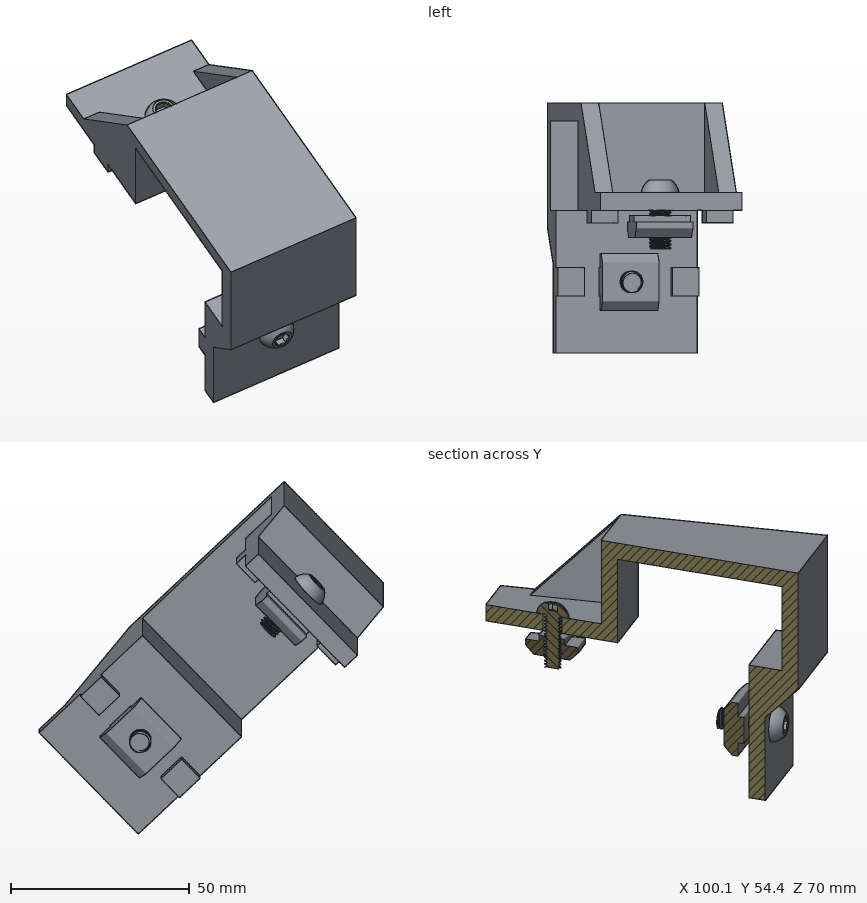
import cadquery as cq
import math

ASSEMBLY_TURN = 9.0

LENGTH = 95.0
WIDTH = 40.0
HEIGHT = 70.0
WALL = 5.0
FOOT_DROP = 30.0
FOOT_LENGTH = 40.0
GUSSET_TOE = 10.0
SHELF_DEPTH = 10.0
WEDGE_DROP = 35.0
HOLE_DIAMETER = 6.5

TAB_SIZE = 8.0
TAB_WIDTH = 7.5
TAB_RISE = 3.5

FOOT_FIXING_X = 20.0
ARM_FIXING_DROP = 50.0

THREAD_DIAMETER = 6.0
CORE_DIAMETER = 4.9
THREAD_PITCH = 1.0
THREAD_BASE = 0.8
THREAD_CREST = 0.2
SCREW_LENGTH = 15.8
HEAD_DIAMETER = 10.5
HEAD_FLAT_DIAMETER = 6.1
HEAD_HEIGHT = 3.5
HEAD_LIP = 0.2
SOCKET_FLATS = 4.0
SOCKET_DEPTH = 2.0

NUT_SIZE = 16.0
NUT_NECK_WIDTH = 8.0
NUT_NECK_HEIGHT = 1.8
NUT_BODY_HEIGHT = 4.3
NUT_CHAMFER = 2.5
NUT_EDGE_RADIUS = 0.3
NUT_GAP = 1.5

FOOT_BOTTOM = HEIGHT - FOOT_DROP
FOOT_TOP = FOOT_BOTTOM + WALL
ROOF_BOTTOM = HEIGHT - WALL
FOOT_WALL_FACE = FOOT_LENGTH - WALL
END_WALL_FACE = LENGTH - WALL
ARM_BACK = LENGTH - SHELF_DEPTH
ARM_FACE = ARM_BACK - WALL
WEDGE_TOP = HEIGHT - WEDGE_DROP
WEDGE_BOTTOM = WEDGE_TOP - SHELF_DEPTH
ARM_FIXING_Z = HEIGHT - ARM_FIXING_DROP

FOOT_FRAME = cq.Plane(origin=(FOOT_FIXING_X, 0, FOOT_TOP), xDir=(1, 0, 0), normal=(0, 0, 1))
ARM_FRAME = cq.Plane(origin=(ARM_BACK, 0, ARM_FIXING_Z), xDir=(0, 0, 1), normal=(1, 0, 0))
FIXING_FRAMES = (FOOT_FRAME, ARM_FRAME)


def extruded_profile(points, width):
    """Prism of an XZ outline, centred on the middle plane."""
    return cq.Workplane("XZ").polyline(points).close().extrude(width / 2, both=True)


def placed(shape, frame):
    """Shape moved from the origin into a fixing frame."""
    return cq.Workplane(shape.val().moved(frame.location))


def bracket_frame():
    return extruded_profile(
        [
            (0, FOOT_BOTTOM),
            (FOOT_LENGTH, FOOT_BOTTOM),
            (FOOT_LENGTH, ROOF_BOTTOM),
            (END_WALL_FACE, ROOF_BOTTOM),
            (END_WALL_FACE, FOOT_BOTTOM),
            (ARM_FACE, FOOT_BOTTOM),
            (ARM_FACE, 0),
            (ARM_BACK, 0),
            (ARM_BACK, WEDGE_BOTTOM),
            (LENGTH, WEDGE_TOP),
            (LENGTH, HEIGHT),
            (FOOT_WALL_FACE, HEIGHT),
            (FOOT_WALL_FACE, FOOT_TOP),
            (0, FOOT_TOP),
        ],
        WIDTH,
    )


def gussets():
    triangle = [(GUSSET_TOE, FOOT_TOP), (FOOT_WALL_FACE, FOOT_TOP), (FOOT_WALL_FACE, HEIGHT)]
    full_width = extruded_profile(triangle, WIDTH)
    return full_width.cut(extruded_profile(triangle, WIDTH - 2 * WALL))


def tab_pair():
    """Two tabs on the mounting face, flush with the sides of the bracket."""
    tab_offset = (WIDTH - TAB_WIDTH) / 2
    return (
        cq.Workplane("XY", origin=(0, 0, -WALL))
        .pushPoints([(0, -tab_offset), (0, tab_offset)])
        .rect(TAB_SIZE, TAB_WIDTH)
        .extrude(-TAB_RISE)
    )


def bracket():
    body = bracket_frame().union(gussets())
    tabs = tab_pair()
    clearance_hole = cq.Workplane("XY").circle(HOLE_DIAMETER / 2).extrude(-WALL)
    head_relief = cq.Workplane("XY").circle(HEAD_DIAMETER / 2).extrude(HEAD_HEIGHT)
    for frame in FIXING_FRAMES:
        body = body.union(placed(tabs, frame))
        body = body.cut(placed(clearance_hole, frame))
        body = body.cut(placed(head_relief, frame))
    return body


def screw_head():
    """Button head: a low rim below a dome that is part of a sphere centred on the axis."""
    rim = HEAD_DIAMETER / 2
    flat = HEAD_FLAT_DIAMETER / 2
    dome_height = HEAD_HEIGHT - HEAD_LIP
    centre_depth = (rim**2 - flat**2 - dome_height**2) / (2 * dome_height)
    middle = dome_height / 2
    middle_radius = math.sqrt(rim**2 + centre_depth**2 - (middle + centre_depth) ** 2)
    return (
        cq.Workplane("XZ")
        .lineTo(rim, 0)
        .lineTo(rim, HEAD_LIP)
        .threePointArc((middle_radius, HEAD_LIP + middle), (flat, HEAD_HEIGHT))
        .lineTo(0, HEAD_HEIGHT)
        .close()
        .revolve(360, (0, 0, 0), (0, 1, 0))
    )


def hex_socket():
    """Hexagonal recess with a conical entry as wide as the hexagon's corners."""
    corner_diameter = SOCKET_FLATS / math.cos(math.pi / 6)
    entry_depth = (corner_diameter - SOCKET_FLATS) / 2
    top = cq.Workplane("XY", origin=(0, 0, HEAD_HEIGHT))
    hexagon = top.transformed(rotate=(0, 0, 30)).polygon(6, corner_diameter).extrude(-SOCKET_DEPTH)
    entry = top.circle(corner_diameter / 2).extrude(-entry_depth, taper=45)
    return hexagon.union(entry)


def screw_thread():
    """Helical ridge on the core, cut flush at both ends of the shank."""
    turned_length = SCREW_LENGTH + THREAD_PITCH
    start = -SCREW_LENGTH - THREAD_PITCH / 2
    root = CORE_DIAMETER / 2
    crest = THREAD_DIAMETER / 2
    ridge_corners = [
        (root, -THREAD_BASE / 2),
        (crest, -THREAD_CREST / 2),
        (crest, THREAD_CREST / 2),
        (root, THREAD_BASE / 2),
    ]
    helices = [
        cq.Wire.makeHelix(THREAD_PITCH, turned_length, radius).translate(cq.Vector(0, 0, start + height))
        for radius, height in ridge_corners
    ]
    faces = []
    for helix, next_helix in zip(helices, helices[1:] + helices[:1]):
        faces.extend(cq.Face.makeRuledSurface(helix, next_helix).Faces())
    for end_points in (
        [helix.startPoint() for helix in helices],
        [helix.endPoint() for helix in helices],
    ):
        faces.append(cq.Face.makeFromWires(cq.Wire.makePolygon(end_points, close=True)))
    ridge = cq.Solid.makeSolid(cq.Shell.makeShell(faces))
    shank_space = cq.Workplane("XY").circle(HEAD_DIAMETER / 2).extrude(-SCREW_LENGTH)
    return shank_space.intersect(cq.Workplane(ridge))


def screw():
    core = cq.Workplane("XY").circle(CORE_DIAMETER / 2).extrude(-SCREW_LENGTH)
    return core.union(screw_thread()).union(screw_head()).cut(hex_socket())


def nut():
    """Bevelled block with a narrow neck on top, its long edges rounded."""
    neck_top = -WALL - NUT_GAP
    body_top = neck_top - NUT_NECK_HEIGHT
    body_bottom = body_top - NUT_BODY_HEIGHT
    chamfer_top = body_bottom + NUT_CHAMFER
    half_neck = NUT_NECK_WIDTH / 2
    half_body = NUT_SIZE / 2
    half_bottom = half_body - NUT_CHAMFER
    body = extruded_profile(
        [
            (-half_body, body_top),
            (half_body, body_top),
            (half_body, chamfer_top),
            (half_bottom, body_bottom),
            (-half_bottom, body_bottom),
            (-half_body, chamfer_top),
        ],
        NUT_SIZE,
    )
    neck = extruded_profile(
        [
            (-half_neck, body_top),
            (half_neck, body_top),
            (half_neck, neck_top),
            (-half_neck, neck_top),
        ],
        NUT_SIZE,
    )
    rounded_body = body.edges("|Y").fillet(NUT_EDGE_RADIUS)
    rounded_neck = neck.faces(">Z").edges("|Y").fillet(NUT_EDGE_RADIUS)
    bore = cq.Workplane("XY").circle(THREAD_DIAMETER / 2).extrude(body_bottom)
    return rounded_body.union(rounded_neck).cut(bore)


bodies = [bracket()]
screw_shape = screw()
nut_shape = nut()
for fixing_frame in FIXING_FRAMES:
    bodies.append(placed(screw_shape, fixing_frame))
    bodies.append(placed(nut_shape, fixing_frame))

turned_bodies = []
for body in bodies:
    turned_bodies.extend(body.rotate((0, 0, 0), (0, 0, 1), ASSEMBLY_TURN).solids().vals())

result = cq.Compound.makeCompound(turned_bodies)